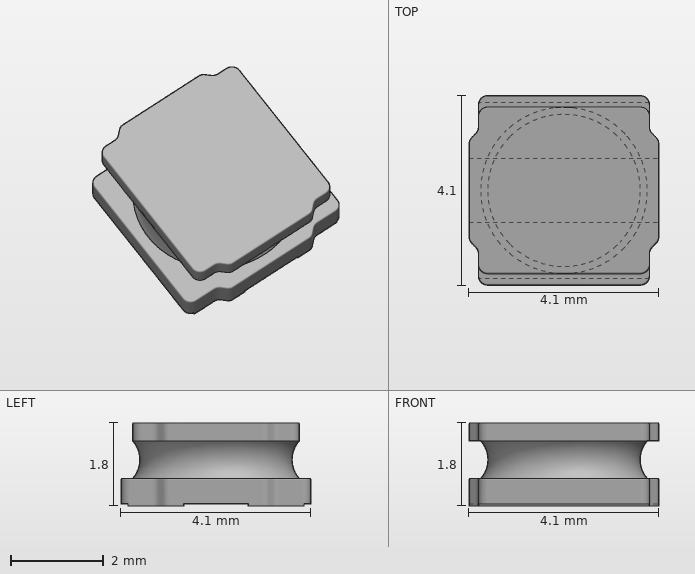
import cadquery as cq

width = 4.1
base_depth = 4.1
height = 1.8

pad_thickness = 0.05
base_thickness = 0.55
top_thickness = 0.395

top_depth = 3.605
corner_step = 0.2
slope_length = 0.21
shoulder_half = 1.082
outline_radius = 0.2
shoulder_radius = 0.18
edge_round = 0.033

core_end_radius = 1.8
core_waist_radius = 1.65
pad_width = 1.21
pad_center = 1.3

base_top = pad_thickness + base_thickness
top_bottom = height - top_thickness


def flange(depth, bottom, thickness):
    """Plate whose four corners are stepped in along X, with sloped transitions."""
    shoulder_x = width / 2
    end_x = shoulder_x - corner_step
    slope_end = shoulder_half + slope_length
    end_y = depth / 2
    outline = [
        (shoulder_x, -shoulder_half),
        (shoulder_x, shoulder_half),
        (end_x, slope_end),
        (end_x, end_y),
        (-end_x, end_y),
        (-end_x, slope_end),
        (-shoulder_x, shoulder_half),
        (-shoulder_x, -shoulder_half),
        (-end_x, -slope_end),
        (-end_x, -end_y),
        (end_x, -end_y),
        (end_x, -slope_end),
    ]
    plate = cq.Workplane("XY").workplane(offset=bottom).polyline(outline).close().extrude(thickness)
    step_and_end_edges = "|Z and (not (>X or <X))"
    shoulder_edges = "|Z and (>X or <X)"
    plate = plate.edges(step_and_end_edges).fillet(outline_radius)
    return plate.edges(shoulder_edges).fillet(shoulder_radius)


def rounded_flange(depth, bottom, thickness):
    """Flange with its upper rim rounded."""
    return flange(depth, bottom, thickness).faces(">Z").edges().fillet(edge_round)


def core():
    """Round core with a concave side, joining the two flanges."""
    return (
        cq.Workplane("XZ")
        .moveTo(0, base_top)
        .lineTo(core_end_radius, base_top)
        .threePointArc((core_waist_radius, (base_top + top_bottom) / 2), (core_end_radius, top_bottom))
        .lineTo(0, top_bottom)
        .close()
        .revolve(360, (0, 0), (0, 1))
    )


def solder_pads():
    """Two thin strips under the base, trimmed to its outline."""
    strips = (
        cq.Workplane("XY")
        .pushPoints([(0, -pad_center), (0, pad_center)])
        .rect(width, pad_width)
        .extrude(pad_thickness)
    )
    return strips.intersect(flange(base_depth, 0, pad_thickness))


base = rounded_flange(base_depth, pad_thickness, base_thickness)
top = rounded_flange(top_depth, top_bottom, top_thickness)
result = base.union(core()).union(top).union(solder_pads())